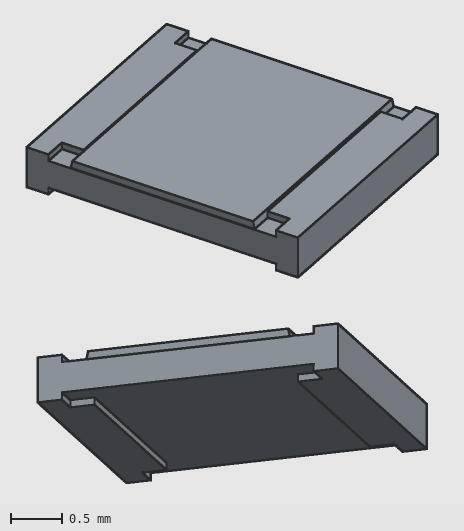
import cadquery as cq

length = 3.1
width = 2.6
height = 0.47

terminal_thickness = 0.075
terminal_height = 0.462
band_length = 0.5
notch_size = band_length / 2

cover_taper = 0.02
cover_side_margin = 0.01

substrate_length = length - 2 * terminal_thickness
substrate_top = terminal_height - terminal_thickness
cover_length = length - 2 * band_length
cover_width = width - 2 * cover_side_margin


def block(size_x, size_y, bottom, top):
    """Box centred on the Z axis, spanning the given heights."""
    return (
        cq.Workplane("XY")
        .workplane(offset=bottom)
        .rect(size_x, size_y)
        .extrude(top - bottom)
    )


def corner_notches():
    """Cutters for the inner corners of the terminal bands, top and bottom."""
    notch_x = length / 2 - band_length + notch_size / 2
    notch_y = (width - notch_size) / 2
    corners = [(sx * notch_x, sy * notch_y) for sx in (-1, 1) for sy in (-1, 1)]
    return (
        cq.Workplane("XY")
        .pushPoints(corners)
        .rect(notch_size, notch_size)
        .extrude(terminal_height)
    )


def terminals():
    """Both end caps, as blocks that overlap the ends of the substrate."""
    return (
        block(length, width, 0, terminal_height)
        .cut(block(cover_length, width, 0, terminal_height))
        .cut(corner_notches())
    )


def cover():
    """Layer on top of the substrate: end faces lean inward, side faces are upright."""
    half_base = cover_length / 2
    half_top = half_base - cover_taper
    return (
        cq.Workplane("XZ")
        .polyline([
            (-half_base, substrate_top),
            (half_base, substrate_top),
            (half_top, height),
            (-half_top, height),
        ])
        .close()
        .extrude(cover_width / 2, both=True)
    )


substrate = block(substrate_length, width, terminal_thickness, substrate_top)
result = substrate.union(terminals()).union(cover())